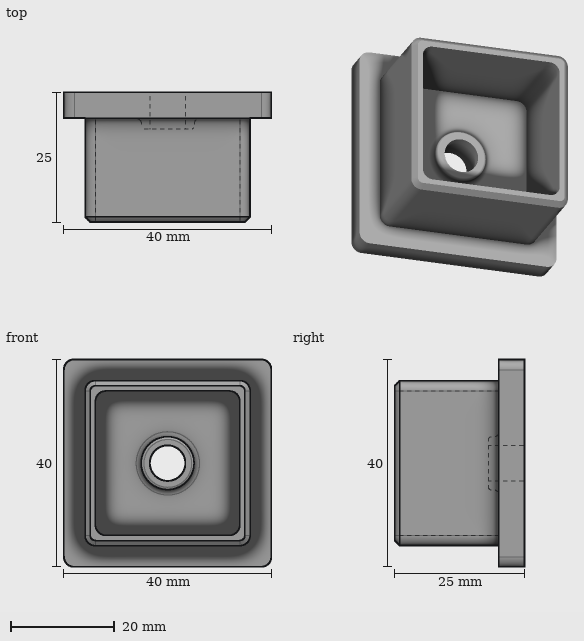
import cadquery as cq


total_depth = 25.0
flange_side = 40.0
flange_thickness = 5.0
flange_corner_radius = 2.0

plug_side = 31.8
plug_corner_radius = 2.0
plug_tip_chamfer = 1.0
wall_thickness = 2.0
pocket_corner_radius = 2.0
floor_thickness = 5.0

hole_diameter = 6.8
boss_diameter = 10.2
boss_height = 2.0
boss_root_radius = 1.0
boss_edge_radius = 0.5

outer_face_y = total_depth / 2
plug_tip_y = -total_depth / 2
floor_y = outer_face_y - floor_thickness
pocket_side = plug_side - 2 * wall_thickness


def rounded_square_block(side, corner_radius, start_y, end_y):
    """Square block along Y with its four long edges rounded."""
    block = cq.Workplane("XY").box(side, end_y - start_y, side)
    return block.edges("|Y").fillet(corner_radius).translate((0, (start_y + end_y) / 2, 0))


def cylinder_along_y(diameter, start_y, end_y):
    """Cylinder on the Y axis."""
    sketch = cq.Workplane("XZ", origin=(0, end_y, 0)).circle(diameter / 2)
    return sketch.extrude(end_y - start_y)


def hollow_cap():
    """Flange and plug with the pocket opened from the plug tip."""
    flange_back_y = outer_face_y - flange_thickness
    flange = rounded_square_block(flange_side, flange_corner_radius, flange_back_y, outer_face_y)
    plug = rounded_square_block(plug_side, plug_corner_radius, plug_tip_y, outer_face_y)
    plug = plug.faces("<Y").edges().chamfer(plug_tip_chamfer)
    pocket = rounded_square_block(pocket_side, pocket_corner_radius, plug_tip_y, floor_y)
    return flange.union(plug).cut(pocket)


def boss():
    """Turned boss: flared by a concave root fillet, with a rounded free edge."""
    radius = boss_diameter / 2
    top_y = floor_y - boss_height
    shape = cylinder_along_y(boss_diameter, top_y, outer_face_y)
    shape = shape.faces("<Y").edges().fillet(boss_edge_radius)
    flare = (
        cq.Workplane("XY")
        .moveTo(0, floor_y)
        .lineTo(radius + boss_root_radius, floor_y)
        .radiusArc((radius, floor_y - boss_root_radius), -boss_root_radius)
        .lineTo(0, floor_y - boss_root_radius)
        .close()
        .revolve(360, (0, 0, 0), (0, 1, 0))
    )
    return shape.union(flare)


hole = cylinder_along_y(hole_diameter, plug_tip_y, outer_face_y)
result = hollow_cap().union(boss()).cut(hole)